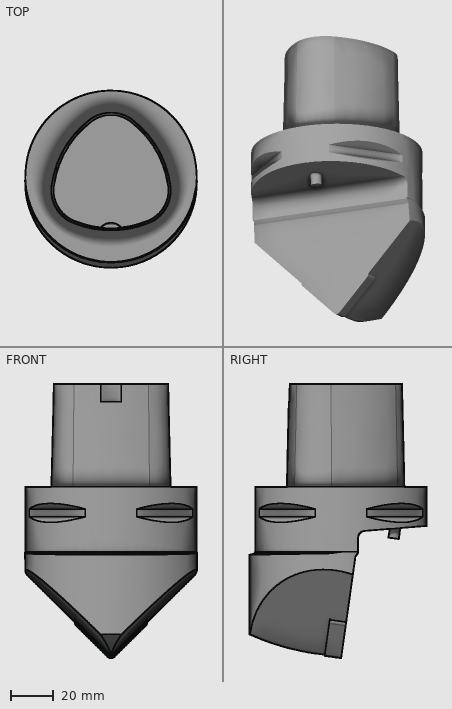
import cadquery as cq
import math

flange_diameter = 80.0
flange_radius = flange_diameter / 2
flange_height = 30.3

shank_height = 48.0
shank_taper = 1.2
lobe_reach = 29.7
flat_reach = 25.3
lobe_radius = 16.4
notch_radius = 6.1
notch_depth = 2.4
notch_height = 8.3

groove_count = 4
groove_start_angle = 45
groove_z = -12.2
groove_floor_distance = 35.5
groove_floor_height = 3.6
groove_flank_angle = 30

tip_z = shank_height - 128
tip_y = 0.1
rake_angle = 8
head_diameter = 80.2
head_radius = head_diameter / 2
head_front = 42.7
head_center_y = head_radius - head_front
shoulder_drop = 1.4
collar_flare = 0.4
collar_height = 0.8
vee_angle = 90
vee_tip_rise = 0.1
vee_height = 51.2
nose_start = (-1.3, -78.8)
nose_middle = (-27.8, -74.4)
nose_end = (-42.9, -68.7)

relief_wall_y = 8.0
relief_foot_z = -30.7
relief_foot_y = 6.8
relief_roof_z = -20.9
relief_roof_angle = 4.6
relief_fillet = 3.2

nozzle_diameter = 5.0
nozzle_end_y = 24.6
nozzle_end_z = -24.0
nozzle_length = 7.7

insert_width = 33.8
insert_corner_radius = 2.0
insert_thickness = 7.8

margin = 51.2
tip_clearance = 1.3

rake = math.radians(rake_angle)
rake_plane = cq.Plane(
    origin=(0, tip_y, tip_z),
    xDir=(1, 0, 0),
    normal=(0, -math.cos(rake), math.sin(rake)),
)


def polar(radius, angle):
    a = math.radians(angle)
    return (radius * math.cos(a), radius * math.sin(a))


def shank_wire(inset, z):
    """Three lobe arcs joined by three tangent, flatter arcs, moved inward by inset."""
    lobe_center = lobe_reach - lobe_radius
    gap = flat_reach - lobe_radius
    flat_center = (lobe_center**2 - gap**2) / (2 * gap - lobe_center)
    side = lobe_center * math.sin(math.radians(60))
    rise = flat_center + lobe_center * math.cos(math.radians(60))
    flat_half_angle = math.degrees(math.atan2(side, rise))
    lobe_half_angle = 60 - flat_half_angle

    def lobe_point(lobe_angle, turn):
        cx, cy = polar(lobe_center, lobe_angle)
        dx, dy = polar(lobe_radius - inset, lobe_angle + turn)
        return (cx + dx, cy + dy)

    outline = cq.Workplane("XY").workplane(offset=z).moveTo(*lobe_point(90, -lobe_half_angle))
    for lobe_angle in (90, 210, 330):
        outline = outline.threePointArc(
            polar(lobe_reach - inset, lobe_angle), lobe_point(lobe_angle, lobe_half_angle)
        )
        outline = outline.threePointArc(
            polar(flat_reach - inset, lobe_angle + 60), lobe_point(lobe_angle + 120, -lobe_half_angle)
        )
    return outline.close().val()


def make_shank():
    solid = cq.Solid.makeLoft([shank_wire(0, 0), shank_wire(shank_taper, shank_height)], True)
    notch_y = -(flat_reach - shank_taper) + notch_depth - notch_radius
    notch = (
        cq.Workplane("XY")
        .workplane(offset=shank_height - notch_height)
        .center(0, notch_y)
        .circle(notch_radius)
        .extrude(notch_height)
    )
    return cq.Workplane(solid).cut(notch)


def make_groove():
    """Radial trapezoid, widening outward, swept along a chord of the flange."""
    depth = flange_radius - groove_floor_distance
    half_floor = groove_floor_height / 2
    half_mouth = half_floor + 2 * depth * math.tan(math.radians(groove_flank_angle))
    mouth = groove_floor_distance + 2 * depth
    return (
        cq.Workplane("XZ")
        .polyline([
            (groove_floor_distance, groove_z - half_floor),
            (mouth, groove_z - half_mouth),
            (mouth, groove_z + half_mouth),
            (groove_floor_distance, groove_z + half_floor),
        ])
        .close()
        .extrude(flange_radius, both=True)
    )


def make_flange():
    flange = cq.Workplane("XY").circle(flange_radius).extrude(-flange_height)
    for i in range(groove_count):
        angle = groove_start_angle + i * 360 / groove_count
        flange = flange.cut(make_groove().rotate((0, 0, 0), (0, 0, 1), angle))
    return flange


def make_head():
    """Offset cylinder under a two-step conical shoulder, trimmed by the vee and the curved nose."""
    head = (
        cq.Workplane("XY")
        .workplane(offset=-flange_height)
        .center(0, head_center_y)
        .circle(head_radius)
        .extrude(tip_z + flange_height)
    )
    shoulder_z = -flange_height - shoulder_drop
    shoulder = (
        cq.Workplane("XZ")
        .polyline([
            (0, -flange_height),
            (flange_radius, -flange_height),
            (flange_radius + collar_flare, -flange_height - collar_height),
            (head_front, shoulder_z),
            (margin, shoulder_z),
            (margin, tip_z),
            (0, tip_z),
        ])
        .close()
        .revolve(360, (0, 0, 0), (0, 1, 0))
    )
    half_width = vee_height * math.tan(math.radians(vee_angle / 2))
    vee = (
        cq.Workplane(rake_plane)
        .polyline([
            (0, vee_tip_rise),
            (half_width, vee_tip_rise + vee_height),
            (half_width, 2 * vee_height),
            (-half_width, 2 * vee_height),
            (-half_width, vee_tip_rise + vee_height),
        ])
        .close()
        .extrude(2 * margin, both=True)
    )
    nose_cut = (
        cq.Workplane("YZ")
        .moveTo(*nose_start)
        .threePointArc(nose_middle, nose_end)
        .lineTo(-margin, nose_end[1])
        .lineTo(-margin, tip_z - tip_clearance)
        .lineTo(nose_start[0], tip_z - tip_clearance)
        .close()
        .extrude(margin, both=True)
    )
    return head.intersect(shoulder).intersect(vee).cut(nose_cut)


def make_relief():
    """Space above the rake face, open toward +Y and downward."""
    roof_slope = math.tan(math.radians(relief_roof_angle))
    roof_end_z = relief_roof_z + (margin - relief_wall_y) * roof_slope
    rake_top_z = tip_z + (relief_foot_y - tip_y) / math.tan(rake)
    below_z = tip_z - tip_clearance
    return (
        cq.Workplane("YZ")
        .polyline([
            (relief_wall_y, relief_roof_z),
            (margin, roof_end_z),
            (margin, below_z),
            (tip_y - tip_clearance * math.tan(rake), below_z),
            (relief_foot_y, rake_top_z),
            (relief_wall_y, relief_foot_z),
        ])
        .close()
        .extrude(margin, both=True)
        .edges(cq.selectors.NearestToPointSelector((0, relief_wall_y, relief_roof_z)))
        .fillet(relief_fillet)
    )


def make_nozzle():
    """Round nozzle, parallel to the rake face, rooted in the flange."""
    axis = cq.Vector(0, math.sin(rake), math.cos(rake))
    return cq.Solid.makeCylinder(
        nozzle_diameter / 2, nozzle_length, cq.Vector(0, nozzle_end_y, nozzle_end_z), axis
    )


def make_insert():
    """Square plate standing on one rounded corner, flush with the rake face."""
    corner_loss = insert_corner_radius * (math.sqrt(2) - 1)
    side = (insert_width + 2 * corner_loss) / math.sqrt(2)
    return (
        cq.Workplane(rake_plane)
        .center(0, insert_width / 2)
        .transformed(rotate=(0, 0, 45))
        .rect(side, side)
        .extrude(insert_thickness)
        .edges(cq.selectors.ParallelDirSelector(rake_plane.zDir))
        .fillet(insert_corner_radius)
    )


insert = make_insert()
holder = make_flange().union(make_head()).cut(make_relief())
holder = holder.union(make_shank()).union(make_nozzle()).cut(insert)

result = cq.Compound.makeCompound([holder.solids().val(), insert.solids().val()])